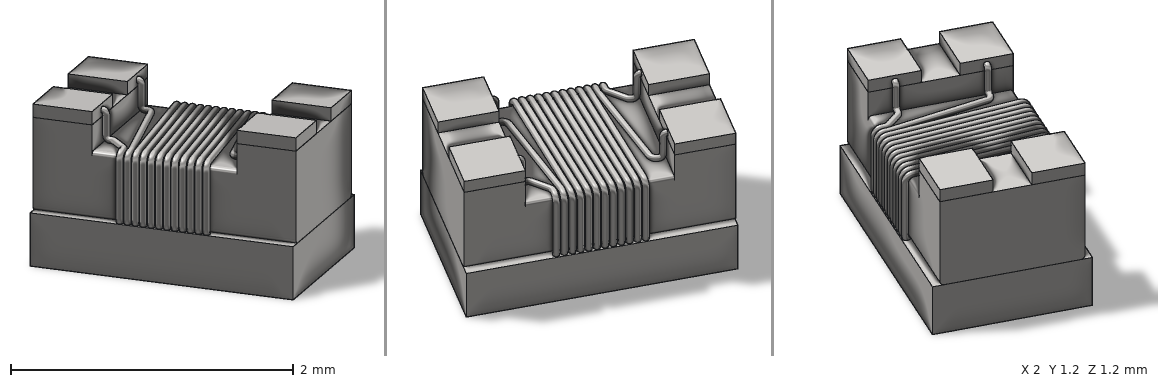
import math

import cadquery as cq


length = 2.0
base_width = 1.2
base_height = 0.4
core_width = 1.09
bottom_edge_radius = 0.035
top_edge_radius = 0.03
web_top = 0.9
flange_top = 1.1
flange_length = 0.45

pad_width = 0.4
pad_thickness = 0.1

wire_diameter = 0.05
wire_gap = 0.005
pitch = 0.06
turns_per_coil = 6
coil_count = 2
lead_elbow_radius = 0.03
lead_bend_radius = 0.055
short_lead_run = 0.055
long_lead_run = 0.08
long_lead_straight_y = 0.495

flange_face = length / 2 - flange_length
pad_y = core_width / 2 - pad_width / 2
pad_z = flange_top + pad_thickness / 2
wire_offset = wire_gap + wire_diameter / 2
turn_y = core_width / 2 + wire_offset
turn_top = web_top + wire_offset
turn_bottom = base_height - wire_offset
bottom_turn_radius = bottom_edge_radius + wire_offset
top_turn_radius = top_edge_radius + wire_offset
first_turn_x = -(turns_per_coil * coil_count - 1) * pitch / 2
last_turn_x = first_turn_x + (turns_per_coil - 1) * coil_count * pitch
lead_x = flange_face - wire_offset


def make_core():
    """Saddle core: a block with a notch between two end flanges and rounded long edges."""
    block = (
        cq.Workplane("XY", origin=(0, 0, base_height))
        .box(length, core_width, flange_top - base_height, centered=(True, True, False))
        .faces("<Z")
        .edges("|X")
        .fillet(bottom_edge_radius)
    )
    notch = cq.Workplane("XY", origin=(0, 0, web_top)).box(
        2 * flange_face, core_width, flange_top - web_top, centered=(True, True, False)
    )
    web_edges = cq.selectors.BoxSelector(
        (-flange_face / 2, -core_width, web_top - top_edge_radius / 2),
        (flange_face / 2, core_width, web_top + top_edge_radius / 2),
    )
    return block.cut(notch).edges("|X").edges(web_edges).fillet(top_edge_radius)


def make_pad(x_side, y_side):
    """Terminal pad on one quarter of the flange tops."""
    x = x_side * (flange_face + flange_length / 2)
    return cq.Workplane("XY", origin=(x, y_side * pad_y, flange_top)).box(
        flange_length, pad_width, pad_thickness, centered=(True, True, False)
    )


def coil_corners():
    """Corner points of the wire centre line, each with its bend radius."""
    corners = [
        ((-lead_x, -pad_y, pad_z), lead_elbow_radius),
        ((-lead_x, -pad_y, turn_top), lead_elbow_radius),
        ((-lead_x + short_lead_run, -pad_y, turn_top), lead_bend_radius),
    ]
    short_lead_dx = first_turn_x + lead_x - short_lead_run
    corners.append(((first_turn_x, -pad_y - short_lead_dx, turn_top), lead_bend_radius))

    for turn in range(turns_per_coil):
        x = first_turn_x + turn * coil_count * pitch
        for y, z, radius in (
            (-turn_y, turn_top, top_turn_radius),
            (-turn_y, turn_bottom, bottom_turn_radius),
            (turn_y, turn_bottom, bottom_turn_radius),
            (turn_y, turn_top, top_turn_radius),
        ):
            corners.append(((x, y, z), radius))

    corners += [
        ((last_turn_x, long_lead_straight_y, turn_top), lead_bend_radius),
        ((lead_x - long_lead_run, -pad_y, turn_top), lead_bend_radius),
        ((lead_x, -pad_y, turn_top), lead_elbow_radius),
        ((lead_x, -pad_y, pad_z), lead_elbow_radius),
    ]
    return corners


def rounded_path(start, corners, end):
    """Wire of straight runs joined by tangent arcs at the corners."""
    shortest_run = 1e-6
    points = [cq.Vector(*point) for point, _ in corners] + [cq.Vector(*end)]
    edges = []
    previous = cq.Vector(*start)
    for (point, radius), following in zip(corners, points[1:]):
        corner = cq.Vector(*point)
        back = (previous - corner).normalized()
        ahead = (following - corner).normalized()
        half_angle = back.getAngle(ahead) / 2
        setback = radius / math.tan(half_angle)
        bisector = (back + ahead).normalized()
        arc_start = corner + back * setback
        arc_middle = corner + bisector * (radius / math.sin(half_angle) - radius)
        arc_end = corner + ahead * setback
        if (arc_start - previous).Length > shortest_run:
            edges.append(cq.Edge.makeLine(previous, arc_start))
        edges.append(cq.Edge.makeThreePointArc(arc_start, arc_middle, arc_end))
        previous = arc_end
    if (points[-1] - previous).Length > shortest_run:
        edges.append(cq.Edge.makeLine(previous, points[-1]))
    return cq.Wire.assembleEdges(edges)


def make_coil():
    """Round wire swept from one pad, around the core and to the opposite pad."""
    start = (-flange_face, -pad_y, pad_z)
    end = (flange_face, -pad_y, pad_z)
    path = rounded_path(start, coil_corners(), end)
    return cq.Workplane("YZ", origin=start).circle(wire_diameter / 2).sweep(path)


def make_base(coils):
    """Base slab with channels for the wire passing under the core."""
    base = cq.Workplane("XY").box(length, base_width, base_height, centered=(True, True, False))
    for coil in coils:
        base = base.cut(coil)
    return base


coil = make_coil()
coils = [coil.rotate((0, 0, 0), (0, 0, 1), index * 360 / coil_count) for index in range(coil_count)]
core = make_core()
pads = [make_pad(x_side, y_side) for x_side in (-1, 1) for y_side in (-1, 1)]
base = make_base(coils)

bodies = (base, core, *pads, *coils)
result = cq.Compound.makeCompound([body.solids().val() for body in bodies])